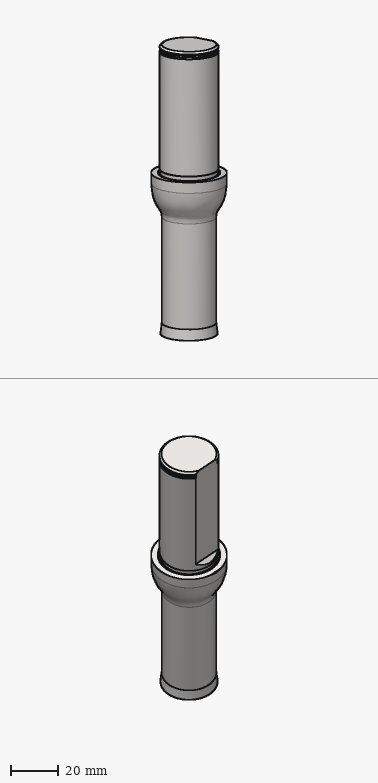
import cadquery as cq

total_height = 127.0
head_rim_height = 0.8
head_height = 5.6
bell_bottom = 51.8
flange_bottom = 66.4
flange_top = 71.0
neck_top = 72.8
groove_bottom = 123.8
groove_top = 125.9

stem_radius = 23.1 / 2
head_rim_radius = 24.3 / 2
flange_radius = 32.0 / 2
shank_radius = 25.0 / 2
neck_radius = 24.5 / 2
top_face_radius = 23.1 / 2
bell_waist_radius = 13.6
bell_waist_height = 56.9
relief_radius = 13.2

neck_chamfer = shank_radius - neck_radius
relief_depth = 0.3
groove_chamfer = 0.6
flat_distance = 10.5
flat_bottom = 76.2


def revolve_profile(profile):
    """Close an XZ half profile and turn it around the Z axis."""
    return profile.close().revolve(360, (0, 0, 0), (0, 1, 0))


def make_head():
    """Flared cutting head with a shallow conical tip."""
    profile = (
        cq.Workplane("XZ")
        .moveTo(0, 0)
        .lineTo(head_rim_radius, head_rim_height)
        .lineTo(stem_radius, head_height)
        .lineTo(0, head_height)
    )
    return revolve_profile(profile)


def make_flat_cutter():
    """Block that cuts the +Y flat, with a 45 degree run-out at its lower end."""
    depth = flange_radius - flat_distance
    return (
        cq.Workplane("YZ")
        .moveTo(flat_distance, flat_bottom)
        .lineTo(flat_distance, total_height)
        .lineTo(flange_radius, total_height)
        .lineTo(flange_radius, flat_bottom - depth)
        .close()
        .extrude(flange_radius, both=True)
    )


def make_holder():
    """Stem, bell-shaped flange and grooved shank in one turned piece."""
    bell_points = [
        (bell_waist_radius, bell_waist_height),
        (flange_radius, flange_bottom),
    ]
    profile = (
        cq.Workplane("XZ")
        .moveTo(0, head_height)
        .lineTo(stem_radius, head_height)
        .lineTo(stem_radius, bell_bottom)
        .spline(bell_points, tangents=[(0, 1), (0, 1)], includeCurrent=True)
        .lineTo(flange_radius, flange_top)
        .lineTo(relief_radius, flange_top)
        .lineTo(relief_radius - relief_depth, flange_top - relief_depth)
        .lineTo(neck_radius, flange_top - relief_depth)
        .lineTo(neck_radius, neck_top - neck_chamfer)
        .lineTo(shank_radius, neck_top)
        .lineTo(shank_radius, groove_bottom)
        .lineTo(neck_radius, groove_bottom + groove_chamfer)
        .lineTo(neck_radius, groove_top - groove_chamfer)
        .lineTo(shank_radius, groove_top)
        .lineTo(shank_radius, total_height - (shank_radius - top_face_radius))
        .lineTo(top_face_radius, total_height)
        .lineTo(0, total_height)
    )
    return revolve_profile(profile).cut(make_flat_cutter())


head = make_head()
holder = make_holder()

result = cq.Compound.makeCompound([head.val(), holder.val()])